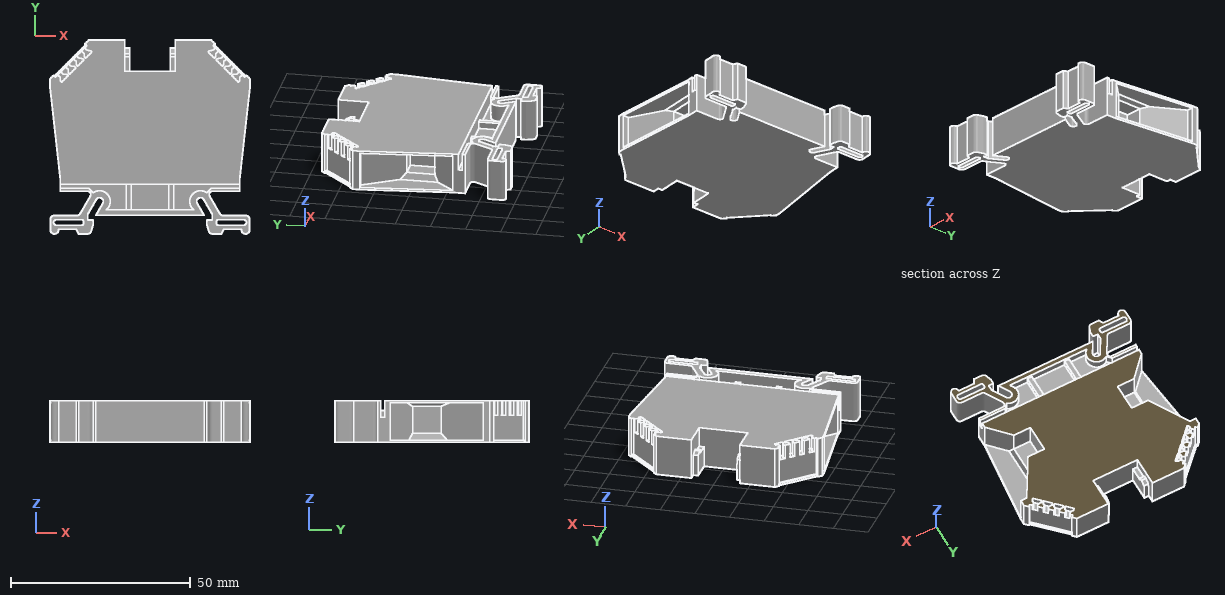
import math

import cadquery as cq

HEIGHT = 11.7
DEPTH = 54.2
HALF_WIDTH = 28.0

TOP_CORNER_X = 17.1
CHAMFER = HALF_WIDTH - TOP_CORNER_X
CHAMFER_LOW_Y = DEPTH - CHAMFER
CHAMFER_ANGLE = 45
TAPER_TOP_Y = 41.36
BASE_X = 25.1
SHELF_Y = 11.95
NOTCH_HALF_WIDTH = 7.0
NOTCH_FLOOR_Y = 45.5

BASE_BOTTOM_Y = 5.2
FOOT_TOP_Y = BASE_BOTTOM_Y
HOOK_X = 14.1
HOOK_Y = 9.1
HOOK_INNER_R = 1.03
HOOK_OUTER_R = 3.0
ARM_ANGLE = math.radians(60)
FOOT_OUTER_X = 27.85
FOOT_INNER_X = 15.85
PAD_R = 1.17
PAD_INNER_X = FOOT_OUTER_X - 2 * PAD_R
FOOT_UNDERSIDE_Y = 1.28
HEEL_LEFT_X = 19.95
HEEL_RIGHT_X = 16.65
HEEL_CHAMFER = 0.65
TOE_TOP_Y = 3.96
TOE_LOW_Y = 2.5
ARM_ROOT_X = 17.36
ARM_CORNER_R = 0.9
FOOT_CORNER_R = 1.1
HEEL_CORNER_R = 1.15
TOE_CORNER_R = 0.3
SLOT_OUTER_X = 26.9
SLOT_INNER_X = 18.63
SLOT_LOW_Y = TOE_LOW_Y
SLOT_HIGH_Y = TOE_TOP_Y
SLOT_CORNER_R = 0.4

TRENCH_FLOOR_Z = 7.0
TRENCH_FRONT_Y = 6.75
TRENCH_BACK_Y = 13.85
LIP_TOP_Y = 12.8
LIP_CORNER_X = 17.1
LIP_END_X = 15.8
LIP_END_Y = 11.4
RIB_INNER_X = 5.2
RIB_OUTER_X = 6.67
RIB_TOP_Z = 8.95

LEDGE_DEPTH = 0.33
LEDGE_Z = 0.67
SEAT_DEPTH = 0.74
SEAT_LENGTH = 12.4
MARKER_COUNT = 4
MARKER_PITCH = 3.14
MARKER_SLOT_DEPTH_Z = 4.05
MOUTH_HALF = 0.75
NECK_HALF = 0.6
POCKET_HALF = 1.25
NECK_START = 1.25
NECK_END = 1.7
POCKET_START = 2.45
POCKET_END = 2.97

WALL = 0.67
FUNNEL_LOW_Y = 15.4
FUNNEL_MOUTH_X = 26.1
HOLE_X = 19.2
HOLE_END_X = 14.0
HOLE_LOW_Y = 21.7
HOLE_HIGH_Y = 29.65
HOLE_LOW_Z = 2.57
HOLE_HIGH_Z = 10.1
RAMP_LOW_X = 20.2
RAMP_HIGH_X = 20.55

TAB_WIDTH = 1.4
TAB_BACK_Y = 52.1
TAB_EDGE_Y = 51.9
TAB_RIDGE_BACK_Y = 50.4
TAB_RIDGE_FRONT_Y = 49.55
TAB_RIDGE_Z = 6.9
TAB_EDGE_Z = 6.1
TAB_SHELF_Z = 6.0


def prism(points, low_z, high_z):
    return cq.Workplane("XY").workplane(offset=low_z).polyline(points).close().extrude(high_z - low_z)


def block(x_range, y_range, z_range):
    size = [high - low for low, high in (x_range, y_range, z_range)]
    corner = (x_range[0], y_range[0], z_range[0])
    return cq.Workplane("XY").box(*size, centered=False).translate(corner)


def round_corner(body, x, y, radius):
    """Round the upright edge that passes nearest to (x, y)."""
    nearest = cq.NearestToPointSelector((x, y, HEIGHT / 2))
    return body.edges("|Z").edges(nearest).fillet(radius)


def arm_line_x(radius, y):
    """X at height y on the sloping line tangent to a hook circle on its outer side."""
    tangent_x = -HOOK_X - radius * math.sin(ARM_ANGLE)
    tangent_y = HOOK_Y + radius * math.cos(ARM_ANGLE)
    return tangent_x + (y - tangent_y) / math.tan(ARM_ANGLE)


def half_profile():
    """Left half of the housing with its hook and foot, at full height."""
    arm_top_x = arm_line_x(HOOK_OUTER_R, SHELF_Y)
    arm_low_x = arm_line_x(HOOK_OUTER_R, FOOT_TOP_Y)
    offset_x = HOOK_INNER_R * math.sin(ARM_ANGLE)
    offset_y = HOOK_INNER_R * math.cos(ARM_ANGLE)
    bend_start = (-HOOK_X - offset_x, HOOK_Y + offset_y)
    bend_mid = (-HOOK_X + offset_y, HOOK_Y + offset_x)
    bend_end = (-HOOK_X + offset_x, HOOK_Y - offset_y)
    arm_root_y = bend_start[1] - (ARM_ROOT_X + bend_start[0]) * math.tan(ARM_ANGLE)
    base_corner_x = bend_end[0] - (bend_end[1] - BASE_BOTTOM_Y) / math.tan(ARM_ANGLE)

    body = (
        cq.Workplane("XY")
        .moveTo(0, NOTCH_FLOOR_Y)
        .lineTo(-NOTCH_HALF_WIDTH, NOTCH_FLOOR_Y)
        .lineTo(-NOTCH_HALF_WIDTH, DEPTH)
        .lineTo(-TOP_CORNER_X, DEPTH)
        .lineTo(-HALF_WIDTH, CHAMFER_LOW_Y)
        .lineTo(-HALF_WIDTH, TAPER_TOP_Y)
        .lineTo(-BASE_X, FUNNEL_LOW_Y)
        .lineTo(-BASE_X, SHELF_Y)
        .lineTo(arm_top_x, SHELF_Y)
        .lineTo(arm_low_x, FOOT_TOP_Y)
        .lineTo(-FOOT_OUTER_X, FOOT_TOP_Y)
        .lineTo(-FOOT_OUTER_X, PAD_R)
        .threePointArc((PAD_R - FOOT_OUTER_X, 0), (-PAD_INNER_X, PAD_R))
        .lineTo(-PAD_INNER_X, FOOT_UNDERSIDE_Y)
        .lineTo(-HEEL_LEFT_X - HEEL_CHAMFER, FOOT_UNDERSIDE_Y)
        .lineTo(-HEEL_LEFT_X, 0)
        .lineTo(-HEEL_RIGHT_X, 0)
        .lineTo(-FOOT_INNER_X, TOE_LOW_Y)
        .lineTo(-FOOT_INNER_X, TOE_TOP_Y)
        .lineTo(-ARM_ROOT_X, TOE_TOP_Y)
        .lineTo(-ARM_ROOT_X, arm_root_y)
        .lineTo(*bend_start)
        .threePointArc(bend_mid, bend_end)
        .lineTo(base_corner_x, BASE_BOTTOM_Y)
        .lineTo(0, BASE_BOTTOM_Y)
        .close()
        .extrude(HEIGHT)
    )
    body = round_corner(body, arm_top_x, SHELF_Y, ARM_CORNER_R)
    body = round_corner(body, arm_low_x, FOOT_TOP_Y, ARM_CORNER_R)
    body = round_corner(body, -FOOT_OUTER_X, FOOT_TOP_Y, FOOT_CORNER_R)
    body = round_corner(body, -HEEL_RIGHT_X, 0, HEEL_CORNER_R)
    body = round_corner(body, -FOOT_INNER_X, TOE_TOP_Y, TOE_CORNER_R)
    return body.cut(foot_slot())


def foot_slot():
    """Slot through the foot: a round outer end and a square, softened inner end."""
    end_radius = (SLOT_HIGH_Y - SLOT_LOW_Y) / 2
    end_x = -SLOT_OUTER_X + end_radius
    end_y = SLOT_LOW_Y + end_radius
    slot = block((end_x, -SLOT_INNER_X), (SLOT_LOW_Y, SLOT_HIGH_Y), (0, HEIGHT))
    slot = slot.edges("|Z and >X").fillet(SLOT_CORNER_R)
    round_end = cq.Workplane("XY").center(end_x, end_y).circle(end_radius).extrude(HEIGHT)
    return slot.union(round_end)


def trench():
    """Half of the trench in the top face, leaving the lip, the hook root and the rib."""
    z_range = (TRENCH_FLOOR_Z, HEIGHT)
    channel = block((-HALF_WIDTH, 0), (LIP_TOP_Y, TRENCH_BACK_Y), z_range)
    pocket = (
        cq.Workplane("XY")
        .workplane(offset=TRENCH_FLOOR_Z)
        .moveTo(0, LIP_TOP_Y)
        .lineTo(-LIP_CORNER_X, LIP_TOP_Y)
        .lineTo(-LIP_END_X, LIP_END_Y)
        .lineTo(-HOOK_X, HOOK_Y)
        .lineTo(-HOOK_X, TRENCH_FRONT_Y)
        .lineTo(0, TRENCH_FRONT_Y)
        .close()
        .extrude(HEIGHT - TRENCH_FLOOR_Z)
    )
    hook_root = cq.Workplane("XY").center(-HOOK_X, HOOK_Y).circle(HOOK_OUTER_R).extrude(HEIGHT)
    rib = block((-RIB_OUTER_X, -RIB_INNER_X), (TRENCH_FRONT_Y, TRENCH_BACK_Y), (0, RIB_TOP_Z))
    return channel.union(pocket).cut(hook_root).cut(rib)


def marker_seat():
    """Stepped recess with marker slots, made along Y and then turned onto the chamfer."""
    half_length = SEAT_LENGTH / 2
    along = (-half_length, half_length)
    seat = block((-SEAT_DEPTH, LEDGE_DEPTH), along, (0, HEIGHT))
    seat = seat.union(block((-SEAT_DEPTH, SEAT_DEPTH), along, (LEDGE_Z, HEIGHT)))
    side = [
        (SEAT_DEPTH, MOUTH_HALF),
        (NECK_START, NECK_HALF),
        (NECK_END, NECK_HALF),
        (POCKET_START, POCKET_HALF),
        (POCKET_END, POCKET_HALF),
    ]
    outline = side + [(depth, -half) for depth, half in reversed(side)]
    slot = prism(outline, HEIGHT - MARKER_SLOT_DEPTH_Z, HEIGHT)
    for index in range(MARKER_COUNT):
        offset = (index - (MARKER_COUNT - 1) / 2) * MARKER_PITCH
        seat = seat.union(slot.translate((0, offset, 0)))
    middle = (-(TOP_CORNER_X + HALF_WIDTH) / 2, (DEPTH + CHAMFER_LOW_Y) / 2, 0)
    return seat.rotate((0, 0, 0), (0, 0, 1), -CHAMFER_ANGLE).translate(middle)


def wire_entry():
    """Funnel with sloping side walls, ramped floor and roof, and a square hole behind."""
    mouth_x = -HALF_WIDTH
    sides = prism(
        [
            (mouth_x, FUNNEL_LOW_Y),
            (-BASE_X, FUNNEL_LOW_Y),
            (-HOLE_X, HOLE_LOW_Y),
            (-HOLE_X, HOLE_HIGH_Y),
            (-FUNNEL_MOUTH_X, TAPER_TOP_Y),
            (mouth_x, TAPER_TOP_Y),
        ],
        0,
        HEIGHT,
    )
    ramps = (
        cq.Workplane("XZ")
        .polyline(
            [
                (mouth_x, WALL),
                (-RAMP_LOW_X, WALL),
                (-HOLE_X, HOLE_LOW_Z),
                (-HOLE_X, HOLE_HIGH_Z),
                (-RAMP_HIGH_X, HEIGHT - WALL),
                (mouth_x, HEIGHT - WALL),
            ]
        )
        .close()
        .extrude(-DEPTH)
    )
    hole = block((-HOLE_X, -HOLE_END_X), (HOLE_LOW_Y, HOLE_HIGH_Y), (HOLE_LOW_Z, HOLE_HIGH_Z))
    return sides.intersect(ramps).union(hole)


def snap_tab():
    """Ridged tab standing on the notch floor against the notch wall."""
    tab = (
        cq.Workplane("YZ")
        .polyline(
            [
                (NOTCH_FLOOR_Y, 0),
                (TAB_BACK_Y, 0),
                (TAB_EDGE_Y, TAB_EDGE_Z),
                (TAB_RIDGE_BACK_Y, TAB_RIDGE_Z),
                (TAB_RIDGE_FRONT_Y, TAB_RIDGE_Z),
                (TAB_RIDGE_FRONT_Y, TAB_SHELF_Z),
                (NOTCH_FLOOR_Y, TAB_SHELF_Z),
            ]
        )
        .close()
        .extrude(TAB_WIDTH)
    )
    return tab.translate((-NOTCH_HALF_WIDTH, 0, 0))


left_half = half_profile().cut(trench()).cut(marker_seat()).cut(wire_entry()).union(snap_tab())
result = left_half.union(left_half.mirror("YZ"))